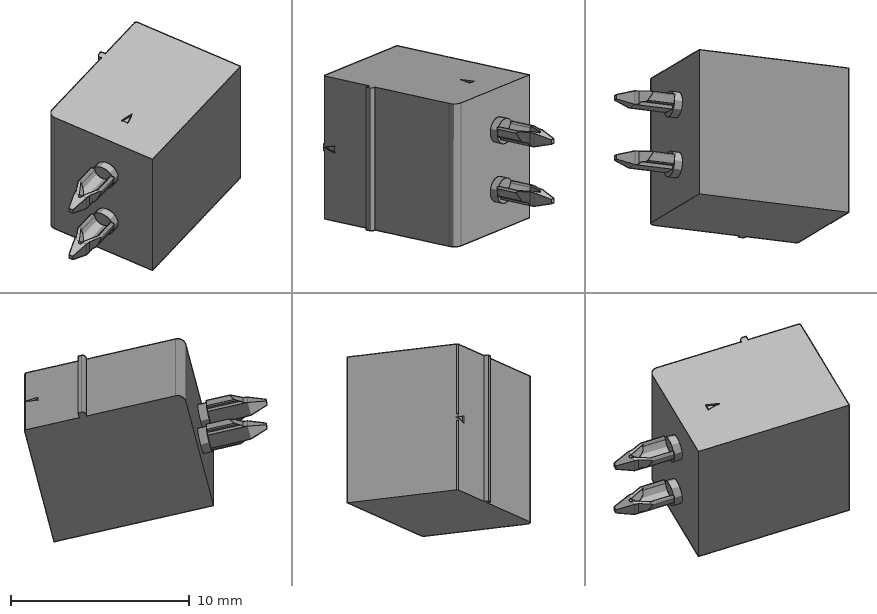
import cadquery as cq


body_left = -3.96
body_right = 3.0
body_depth = 9.2
body_height = 8.4
corner_radius = 0.48
back_chamfer = 0.08

rib_width = 0.42
rib_height = 0.29
rib_radius = 0.21
rib_back = body_depth - 3.17

arrow_length = 0.77
arrow_width = 0.4
arrow_depth = 0.1
top_arrow_base = 1.82

pin_pitch = 3.5
overall_depth = 13
pin_length = overall_depth - body_depth
collar_radius = 0.73
collar_length = 0.5
shank_taper_start = 1.83
shank_taper_end = 2.55
point_start = 2.78
core_half = 0.4
point_half = 0.13
neck_half = 0.43

shank_half_width = 0.78
lip_radius = 0.085
lip_z = core_half - lip_radius
wall_foot_x = 0.65
wall_foot_z = -0.14
ledge_z = -0.215
ledge_outer_x = 0.58
ledge_inner_x = 0.5

trough_half_width = 0.51
trough_floor = -0.08
trough_taper_start = 1.81
trough_nose_start = 2.78
trough_nose_half = 0.09
trough_nose_end = 2.95
trough_end_slope = 0.9


def make_housing():
    width = body_right - body_left
    housing = (
        cq.Workplane("XY")
        .box(width, body_depth, body_height, centered=False)
        .translate((body_left, 0, -body_height / 2))
    )
    housing = housing.edges("|Z and <X and <Y").fillet(corner_radius)
    housing = housing.edges("|Z and <X and >Y").chamfer(back_chamfer)
    corner_pad = (
        cq.Workplane("XY")
        .box(2 * back_chamfer, 2 * back_chamfer, arrow_width, centered=(False, False, True))
        .translate((body_left, body_depth - 2 * back_chamfer, 0))
    )
    return housing.union(corner_pad)


def make_rib():
    rib_front = rib_back - rib_width
    rib = (
        cq.Workplane("XY")
        .box(2 * rib_height, rib_width, body_height, centered=(True, False, True))
        .translate((body_left, rib_front, 0))
    )
    return rib.edges("|Z and <X and <Y").fillet(rib_radius)


def arrow_cutter(plane):
    """Arrowhead with its base at the plane origin, pointing along local X and sunk below the plane."""
    half = arrow_width / 2
    return (
        cq.Workplane(plane)
        .polyline([(0, -half), (arrow_length, 0), (0, half)])
        .close()
        .extrude(-arrow_depth)
    )


def make_shank():
    """Trough-shaped bar whose sides narrow to the width of the point."""
    length = point_start - collar_length
    lip_outer = shank_half_width - lip_radius
    bar = (
        cq.Workplane("XZ", origin=(0, -collar_length, 0))
        .moveTo(-lip_outer, core_half)
        .lineTo(lip_outer, core_half)
        .radiusArc((shank_half_width, lip_z), lip_radius)
        .lineTo(wall_foot_x, wall_foot_z)
        .lineTo(ledge_outer_x, ledge_z)
        .lineTo(ledge_inner_x, ledge_z)
        .lineTo(core_half, -core_half)
        .lineTo(-core_half, -core_half)
        .lineTo(-ledge_inner_x, ledge_z)
        .lineTo(-ledge_outer_x, ledge_z)
        .lineTo(-wall_foot_x, wall_foot_z)
        .lineTo(-shank_half_width, lip_z)
        .radiusArc((-lip_outer, core_half), lip_radius)
        .close()
        .extrude(length)
    )
    plan = (
        cq.Workplane("XY")
        .polyline([
            (-shank_half_width, 0),
            (-shank_half_width, -shank_taper_start),
            (-neck_half, -shank_taper_end),
            (-core_half, -point_start),
            (core_half, -point_start),
            (neck_half, -shank_taper_end),
            (shank_half_width, -shank_taper_start),
            (shank_half_width, 0),
        ])
        .close()
        .extrude(core_half, both=True)
    )
    return bar.intersect(plan)


def make_trough():
    """Round-bottomed channel whose sides close in to a narrow nose near the point."""
    lip_inner = trough_half_width + lip_radius
    channel = (
        cq.Workplane("XZ", origin=(0, -collar_length, 0))
        .moveTo(-lip_inner, core_half)
        .radiusArc((-trough_half_width, lip_z), lip_radius)
        .threePointArc((0, trough_floor), (trough_half_width, lip_z))
        .radiusArc((lip_inner, core_half), lip_radius)
        .close()
        .extrude(pin_length)
    )

    def plan_at(workplane, retreat):
        return (
            workplane
            .moveTo(-lip_inner, pin_length)
            .lineTo(-lip_inner, retreat - trough_taper_start)
            .lineTo(-trough_nose_half, retreat - trough_nose_start)
            .threePointArc((0, retreat - trough_nose_end), (trough_nose_half, retreat - trough_nose_start))
            .lineTo(lip_inner, retreat - trough_taper_start)
            .lineTo(lip_inner, pin_length)
            .close()
        )

    depth = core_half - trough_floor
    upper = plan_at(cq.Workplane("XY").workplane(offset=core_half), 0)
    wedge = plan_at(upper.workplane(offset=-depth), depth * trough_end_slope).loft(ruled=True)
    return channel.intersect(wedge)


def make_pin():
    collar = cq.Workplane("XZ").circle(collar_radius).extrude(collar_length)
    point = (
        cq.Workplane("XZ", origin=(0, -point_start, 0))
        .rect(2 * core_half, 2 * core_half)
        .workplane(offset=pin_length - point_start)
        .rect(2 * point_half, 2 * point_half)
        .loft(ruled=True)
    )
    return collar.union(make_shank()).union(point).cut(make_trough())


top_arrow_plane = cq.Plane(
    origin=(0, top_arrow_base, body_height / 2), xDir=(0, 1, 0), normal=(0, 0, 1)
)
side_arrow_plane = cq.Plane(
    origin=(body_left, body_depth - arrow_length, 0), xDir=(0, 1, 0), normal=(-1, 0, 0)
)

result = make_housing().union(make_rib())
for arrow_plane in (top_arrow_plane, side_arrow_plane):
    result = result.cut(arrow_cutter(arrow_plane))
pin = make_pin()
for pin_z in (-pin_pitch / 2, pin_pitch / 2):
    result = result.union(pin.translate((0, 0, pin_z)))